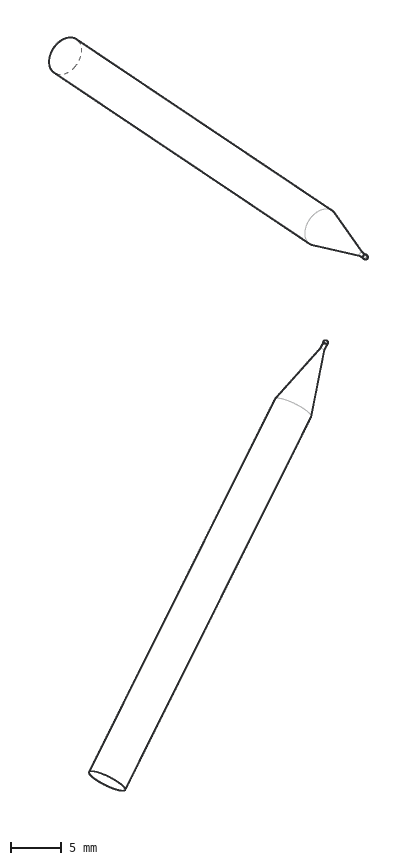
import cadquery as cq
import math

total_length = 50.0
shank_radius = 2.0
shank_length = 42.35
neck_start = 49.0
neck_radius = 0.225
ball_radius = 0.25
cutter_length = 0.4

cutter_start = total_length - cutter_length
ball_center = total_length - ball_radius
arc_offset = ball_radius * math.sqrt(0.5)

profile = (
    cq.Workplane("XY")
    .moveTo(0, 0)
    .lineTo(0, shank_radius)
    .lineTo(shank_length, shank_radius)
    .lineTo(neck_start, neck_radius)
    .lineTo(cutter_start, neck_radius)
    .lineTo(cutter_start, ball_radius)
    .lineTo(ball_center, ball_radius)
    .threePointArc((ball_center + arc_offset, arc_offset), (total_length, 0))
    .close()
)

result = profile.revolve(360, (0, 0, 0), (1, 0, 0))